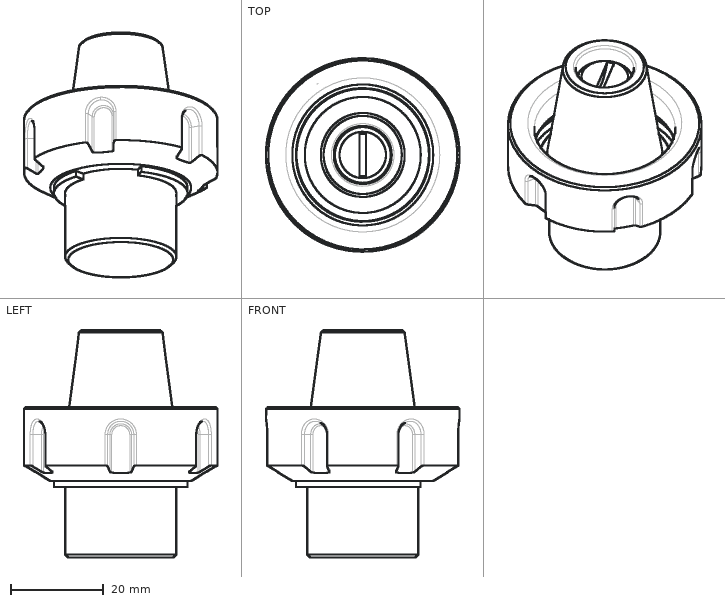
import cadquery as cq
import math

tolerance = 0.01

total_height = 49.0
ring_bottom = 15.2
nut_bottom = 16.5
nut_cone_top = 19.9
nut_top = 32.5

shank_radius = 24.0 / 2
shank_chamfer = 0.7

ring_radius = 28.8 / 2
ring_gap_angle = 60.0

taper_half_angle = math.radians(7.7)
taper_radius_at_nut_top = 22.4 / 2
nose_base_radius = 25.0 / 2
nose_chamfer = 0.55

nut_radius = 41.7 / 2
nut_bottom_radius = 30.38 / 2
nut_top_chamfer = 0.5

bore_radius = 30.38 / 2
bore_lip_width = 1.4
bore_lip_depth = 1.65
relief_radius = 32.5 / 2
relief_top = 25.0
relief_cone_height = 2.3
bore_floor = 20.4

collar_radius = ring_radius
collar_top = 21.7
collar_chamfer = 0.15

slot_count = 6
slot_floor_distance = 18.1
slot_floor_half_width = 2.25
slot_draft = 15.0
slot_arc_height = 26.5
slot_cutter_overrun = 1.0
slot_floor_fillet = 0.4
slot_rim_fillet = 0.5

socket_radius = 12.5 / 2
socket_mouth_fillet = 0.5
screw_radius = 12.0 / 2
screw_face_radius = 10.0 / 2
screw_face_height = 46.15
screw_cone_height = 1.0
screw_rim_height = screw_face_height - screw_cone_height
screw_rim_depth = 0.5
socket_floor = screw_rim_height - screw_rim_depth
screw_slot_width = 1.5
screw_slot_length = 9.05
screw_slot_cutter_radius = 10.92 / 2


def disc(radius, bottom, top):
    """Upright cylinder between two heights."""
    return cq.Workplane("XY").workplane(offset=bottom).circle(radius).extrude(top - bottom)


def frustum(bottom_radius, top_radius, bottom, top):
    """Upright cone section between two heights."""
    base = cq.Vector(0, 0, bottom)
    return cq.Workplane(cq.Solid.makeCone(bottom_radius, top_radius, top - bottom, base))


def make_slot_cutter():
    """Round-topped, drafted slot cutter on the -X side, open at the bottom."""
    depth = nut_radius - slot_floor_distance + slot_cutter_overrun
    outer_half_width = slot_floor_half_width + depth * math.tan(math.radians(slot_draft))
    outer_distance = slot_floor_distance + depth
    profile = [
        (-outer_distance, -outer_half_width),
        (-slot_floor_distance, -slot_floor_half_width),
        (-slot_floor_distance, slot_floor_half_width),
        (-outer_distance, outer_half_width),
    ]
    straight = cq.Workplane("XY").polyline(profile).close().extrude(slot_arc_height)
    straight = straight.faces(">X").edges("|Z").fillet(slot_floor_fillet)
    rounded_end = cq.Workplane(
        cq.Solid.makeCone(
            outer_half_width,
            slot_floor_half_width,
            depth,
            cq.Vector(-outer_distance, 0, slot_arc_height),
            cq.Vector(1, 0, 0),
        )
    )
    rounded_end = rounded_end.faces(">X").edges().fillet(slot_floor_fillet)
    return straight.union(rounded_end)


def on_slot_rim(edge):
    """True for the edges where a slot meets the cylindrical side of the nut."""
    middle = edge.positionAt(0.5)
    on_side = abs(math.hypot(middle.x, middle.y) - nut_radius) < tolerance
    between_ends = nut_bottom + tolerance < middle.z < nut_top - nut_top_chamfer - tolerance
    on_seam = abs(middle.y) < tolerance and middle.x > 0 and edge.geomType() == "LINE"
    return on_side and between_ends and not on_seam


def make_nut():
    """Slotted nut; the bottom cone is cut last, across the finished slots."""
    nut = disc(nut_radius, nut_bottom, nut_top).faces(">Z").chamfer(nut_top_chamfer)
    cutter = make_slot_cutter()
    for index in range(slot_count):
        nut = nut.cut(cutter.rotate((0, 0, 0), (0, 0, 1), index * 360.0 / slot_count))
    rims = [e for e in nut.edges().vals() if on_slot_rim(e)]
    nut = nut.newObject(rims).fillet(slot_rim_fillet)
    envelope = frustum(nut_bottom_radius, nut_radius, nut_bottom, nut_cone_top)
    envelope = envelope.union(disc(nut_radius, nut_cone_top, nut_top))
    return nut.intersect(envelope)


def make_bore():
    """Space inside the nut, with a rounded lip and a wider relief above the floor."""
    lip_radius = bore_radius + bore_lip_width
    return (
        cq.Workplane("XZ")
        .moveTo(0, bore_floor)
        .lineTo(relief_radius, bore_floor)
        .lineTo(relief_radius, relief_top - relief_cone_height)
        .lineTo(bore_radius, relief_top)
        .lineTo(bore_radius, nut_top - bore_lip_depth)
        .tangentArcPoint((lip_radius, nut_top), relative=False)
        .lineTo(0, nut_top)
        .close()
        .revolve(360, (0, 0, 0), (0, 1, 0))
    )


def make_ring():
    """Retaining ring with a wedge-shaped gap."""
    reach = 2 * ring_radius
    half_gap = reach * math.tan(math.radians(ring_gap_angle / 2))
    gap = (
        cq.Workplane("XY")
        .workplane(offset=ring_bottom)
        .polyline([(0, 0), (reach, half_gap), (reach, -half_gap)])
        .close()
        .extrude(nut_bottom - ring_bottom)
    )
    return disc(ring_radius, ring_bottom, nut_bottom).cut(gap)


def make_nose():
    """Tapered nose with the round socket in its top."""
    taper_bottom = nut_top - (nose_base_radius - taper_radius_at_nut_top) / math.tan(taper_half_angle)
    nose_tip_radius = nose_base_radius - (total_height - taper_bottom) * math.tan(taper_half_angle)
    taper = frustum(nose_base_radius, nose_tip_radius, taper_bottom, total_height)
    taper = taper.faces(">Z").chamfer(nose_chamfer)
    nose = taper.union(disc(nose_base_radius, collar_top, taper_bottom))
    nose = nose.cut(disc(socket_radius, socket_floor, total_height))
    mouth_edge = nose.faces(">Z").edges(cq.selectors.RadiusNthSelector(0))
    return mouth_edge.fillet(socket_mouth_fillet)


def make_screw_head():
    """Round head with a bevelled rim."""
    rim = disc(screw_radius, socket_floor, screw_rim_height)
    return rim.union(frustum(screw_radius, screw_face_radius, screw_rim_height, screw_face_height))


def make_screw_slot_cutter():
    """Disc lying across X that leaves a screwdriver slot with an arc-shaped floor."""
    cutter_rise = math.sqrt(screw_slot_cutter_radius**2 - (screw_slot_length / 2) ** 2)
    return (
        cq.Workplane("YZ")
        .center(0, screw_face_height + cutter_rise)
        .circle(screw_slot_cutter_radius)
        .extrude(screw_slot_width / 2, both=True)
    )


shank = disc(shank_radius, 0, nut_bottom).faces("<Z").chamfer(shank_chamfer)
collar = disc(collar_radius, bore_floor, collar_top).faces(">Z").chamfer(collar_chamfer)

result = (
    make_nut()
    .cut(make_bore())
    .union(shank)
    .union(make_ring())
    .union(collar)
    .union(make_nose())
    .union(make_screw_head())
    .cut(make_screw_slot_cutter())
)